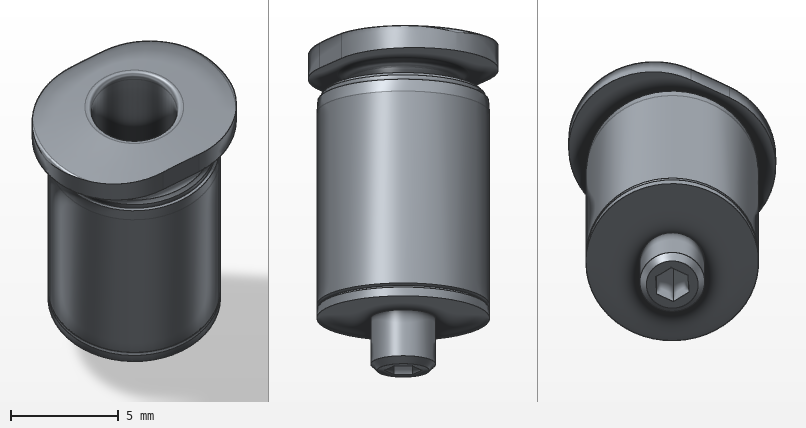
import cadquery as cq
import math


pin_dia = 3.0
pin_length = 2.5
pin_chamfer = 0.3

body_dia = 8.0
body_height = 10.4
taper_height = 0.58
taper_angle = 4.0
groove_height = 0.52
groove_depth = 0.1

collar_dia = 7.6
collar_height = 0.4
collar_chamfer = 0.15

neck_dia = 5.37
neck_height = 0.9
neck_fillet = 0.37

head_width = 7.8
head_length = 9.8
head_height = 1.5
head_cone_angle = 10.0
head_rim_fillet = 0.2

bore_dia = 3.97
bore_mouth_radius = 0.3
bore_floor = 2.5
hex_across_flats = 1.5
hex_sides = 6

collar_base = body_height
neck_base = collar_base + collar_height
head_base = neck_base + neck_height
head_top = head_base + head_height
mouth_dia = bore_dia + 2 * bore_mouth_radius


def cylinder(diameter, base, height):
    """Upright cylinder on the part axis."""
    return cq.Workplane("XY").workplane(offset=base).circle(diameter / 2).extrude(height)


def arc_sag(radius):
    """Offset of a quarter arc's midpoint from its two tangent lines."""
    return radius * (1 - math.cos(math.pi / 4))


def make_pin():
    """Pin below the seat, chamfered at its free end."""
    return cylinder(pin_dia, -pin_length, pin_length).faces("<Z").chamfer(pin_chamfer)


def make_body():
    """Main cylinder with a tapered top band and a V groove turned into it."""
    taper_inset = taper_height * math.tan(math.radians(taper_angle))
    body = cylinder(body_dia, 0, body_height).faces(">Z").edges().chamfer(taper_height, taper_inset)
    radius = body_dia / 2
    groove = (
        cq.Workplane("XZ")
        .moveTo(radius, groove_height - groove_depth)
        .lineTo(radius, groove_height + groove_depth)
        .lineTo(radius - groove_depth, groove_height)
        .close()
        .revolve()
    )
    return body.cut(groove)


def make_collar():
    """Chamfered step on top of the body."""
    return cylinder(collar_dia, collar_base, collar_height).faces(">Z").chamfer(collar_chamfer)


def make_neck():
    """Neck that flares outward through a concave fillet to the head."""
    radius = neck_dia / 2
    sag = arc_sag(neck_fillet)
    return (
        cq.Workplane("XZ")
        .moveTo(0, neck_base)
        .lineTo(radius, neck_base)
        .lineTo(radius, head_base - neck_fillet)
        .threePointArc((radius + sag, head_base - sag), (radius + neck_fillet, head_base))
        .lineTo(0, head_base)
        .close()
        .revolve()
    )


def make_head():
    """Turned disc with a conical top and rounded rim, trimmed to an oblong."""
    rim_radius = head_length / 2
    mouth_radius = mouth_dia / 2
    cone_drop = (rim_radius - mouth_radius) * math.tan(math.radians(head_cone_angle))
    disc = (
        cq.Workplane("XZ")
        .moveTo(0, head_base)
        .lineTo(rim_radius, head_base)
        .lineTo(rim_radius, head_top - cone_drop)
        .lineTo(mouth_radius, head_top)
        .lineTo(0, head_top)
        .close()
        .revolve()
    )
    rim_point = (0, rim_radius, head_top - cone_drop)
    disc = disc.edges(cq.selectors.NearestToPointSelector(rim_point)).fillet(head_rim_fillet)
    oblong = (
        cq.Workplane("XY")
        .workplane(offset=head_base)
        .slot2D(head_length, head_width, 90)
        .extrude(head_height)
    )
    return disc.intersect(oblong)


def make_bore():
    """Blind bore with a rounded mouth."""
    radius = bore_dia / 2
    mouth_radius = mouth_dia / 2
    sag = arc_sag(bore_mouth_radius)
    return (
        cq.Workplane("XZ")
        .moveTo(0, bore_floor)
        .lineTo(radius, bore_floor)
        .lineTo(radius, head_top - bore_mouth_radius)
        .threePointArc((radius + sag, head_top - sag), (mouth_radius, head_top))
        .lineTo(0, head_top)
        .close()
        .revolve()
    )


def make_hex_hole():
    """Hexagonal hole through the floor and pin, with corners on the Y axis."""
    across_corners = hex_across_flats / math.cos(math.pi / hex_sides)
    return (
        cq.Workplane("XY")
        .workplane(offset=-pin_length)
        .transformed(rotate=(0, 0, 90))
        .polygon(hex_sides, across_corners)
        .extrude(pin_length + bore_floor)
    )


result = make_body()
for section in (make_pin(), make_collar(), make_neck(), make_head()):
    result = result.union(section)
for opening in (make_bore(), make_hex_hole()):
    result = result.cut(opening)